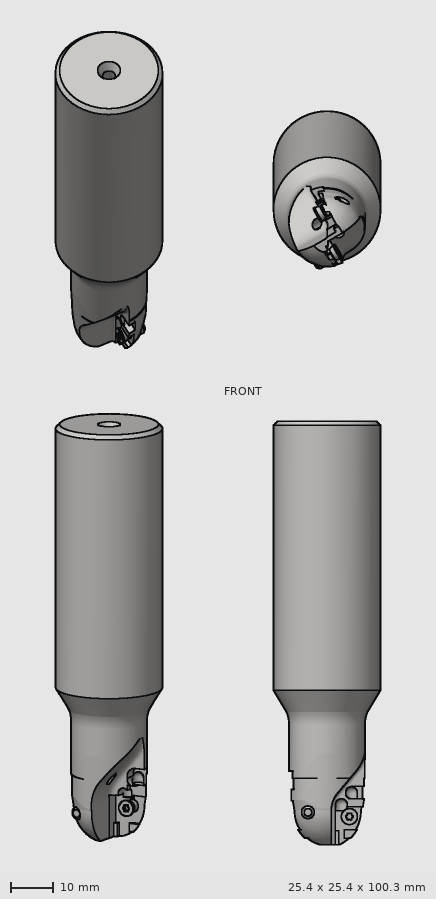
import cadquery as cq
import math

LENGTH = 100.3
SHANK_DIAMETER = 25.4
SHANK_R = SHANK_DIAMETER / 2
SHANK_CHAMFER = 1.0
SHANK_BOTTOM_Z = 36.6
CONE_BOTTOM_R = 9.6
CONE_BOTTOM_Z = 31.5
NECK_R = 9.0
NECK_TOP_Z = 28.7
LOWER_NECK_R = 8.8
LOWER_NECK_TOP_Z = 15.7
LOWER_NECK_BOTTOM_Z = 10.6
NOSE_R = 8.4
NOSE_TOP_Z = 8.1
NOSE_TIP_R = 3.7

RELIEF_R = 10.0
RELIEF_APEX_Z = 22.0
RELIEF_SLOPE = 0.04

CENTRE_R = 2.7
BORE_R = 1.5
CENTRE_HALF_ANGLE = math.radians(30)
CENTRE_DEPTH = (CENTRE_R - BORE_R) / math.tan(CENTRE_HALF_ANGLE)
BORE_BOTTOM_Z = 24.1
COOLANT_R = 1.2
COOLANT_EXIT_Y = -1.8

FLUTE_FLOOR_Y = 0.8
FLUTE_ANGLE = math.radians(40)
FLUTE_RUNOUT_X = 7.0
FLUTE_RUNOUT_R = 9.0
CLEAR = 15.0
BELOW_TIP_Z = -1.0

PAD_HEIGHT = 1.0
CORNER_PAD_WIDTH = 0.9
CORNER_PAD_TOP_Z = 3.3
OUTER_PAD_X = 4.1
OUTER_PAD_BOTTOM_Z = 1.6
OUTER_PAD_TOP_Z = 3.6
RECESS_WALL_X = 4.4
RELIEF_CUT_R = 1.4
SEAT_RELIEF_X = 3.4
SEAT_RELIEF_RISE = 0.5

SCREW_HEAD_R = 1.9
SCREW_HEAD_RIM = 0.4
SCREW_HEAD_DEPTH = 1.6
SCREW_R = 1.5
SCREW_LENGTH = 6.4
SCREW_TIP_R = 0.9
SOCKET_R = 0.65
SOCKET_LOBE_R = 0.25
SOCKET_LOBES = 6
SOCKET_DEPTH = 0.9

FLUTES = [
    {
        "turn": 0,
        "wall_x": 1.0,
        "wall_top_z": 8.1,
        "corner_r": 0.9,
        "seat_x": 1.9,
        "sweep_r": 6.3,
        "seat_y": 2.4,
        "seat_top_z": 9.0,
        "ledge_y": 0.8,
        "ledge_top_z": 10.9,
        "recess_y": 2.6,
        "recess_top_z": 13.8,
        "coolant_z": 12.5,
        "screw_x": 5.3,
        "screw_z": 6.7,
    },
    {
        "turn": 180,
        "wall_x": -0.2,
        "wall_top_z": 9.3,
        "corner_r": 1.5,
        "seat_x": 0.0,
        "sweep_r": 9.5,
        "seat_y": 3.4,
        "seat_top_z": 10.4,
        "ledge_y": 2.5,
        "ledge_top_z": 13.1,
        "recess_y": 3.8,
        "recess_top_z": 17.5,
        "coolant_z": 14.9,
        "screw_x": 4.5,
        "screw_z": 7.7,
    },
]


def turned(shape, flute):
    """Turn a shape from the flute frame to its place about the Z axis."""
    return shape.rotate((0, 0, 0), (0, 0, 1), flute["turn"])


def box(x0, x1, y0, y1, z0, z1):
    return cq.Workplane("XY").box(x1 - x0, y1 - y0, z1 - z0, centered=False).translate((x0, y0, z0))


def blank():
    """Shank, cone, neck and rounded nose."""
    inset = NOSE_R - NOSE_TIP_R
    arc_r = (inset**2 + NOSE_TOP_Z**2) / (2 * inset)
    half_angle = math.asin(NOSE_TOP_Z / arc_r) / 2
    arc_mid = (NOSE_R - arc_r * (1 - math.cos(half_angle)), NOSE_TOP_Z - arc_r * math.sin(half_angle))
    return (
        cq.Workplane("XZ")
        .moveTo(0, 0)
        .lineTo(NOSE_TIP_R, 0)
        .threePointArc(arc_mid, (NOSE_R, NOSE_TOP_Z))
        .lineTo(LOWER_NECK_R, LOWER_NECK_BOTTOM_Z)
        .lineTo(LOWER_NECK_R, LOWER_NECK_TOP_Z)
        .lineTo(NECK_R, LOWER_NECK_TOP_Z)
        .lineTo(NECK_R, NECK_TOP_Z)
        .tangentArcPoint((CONE_BOTTOM_R, CONE_BOTTOM_Z), relative=False)
        .lineTo(SHANK_R, SHANK_BOTTOM_Z)
        .lineTo(SHANK_R, LENGTH - SHANK_CHAMFER)
        .lineTo(SHANK_R - SHANK_CHAMFER, LENGTH)
        .lineTo(0, LENGTH)
        .close()
        .revolve(360, (0, 0, 0), (0, 1, 0))
    )


def back_relief():
    """Material outside a leaning cylinder on the -Y side of the neck and nose."""
    lean = math.degrees(math.atan(RELIEF_SLOPE))
    kept = (
        cq.Workplane("XY")
        .circle(RELIEF_R)
        .extrude(LENGTH, both=True)
        .translate((0, RELIEF_R - NECK_R, 0))
        .rotate((0, 0, 0), (1, 0, 0), lean)
        .translate((0, 0, RELIEF_APEX_Z))
    )
    return box(-CLEAR, CLEAR, -CLEAR, 0, BELOW_TIP_Z, RELIEF_APEX_Z).cut(kept)


def bore():
    """Centre hole with its 60 degree countersink."""
    return (
        cq.Workplane("XZ")
        .moveTo(0, LENGTH)
        .lineTo(CENTRE_R, LENGTH)
        .lineTo(BORE_R, LENGTH - CENTRE_DEPTH)
        .lineTo(BORE_R, BORE_BOTTOM_Z)
        .lineTo(0, BORE_BOTTOM_Z)
        .close()
        .revolve(360, (0, 0, 0), (0, 1, 0))
    )


def sweep_point(flute, angle):
    """Point of the flute wall arc where the wall leans by the given angle."""
    r = flute["sweep_r"]
    return (flute["wall_x"] + r * (1 - math.cos(angle)), flute["wall_top_z"] + r * math.sin(angle))


def flute_cut(flute):
    """Chip flute: straight wall, arc, sloped runout that curves out of the neck."""
    sweep_end = sweep_point(flute, FLUTE_ANGLE)
    runout_z = sweep_end[1] + (FLUTE_RUNOUT_X - sweep_end[0]) / math.tan(FLUTE_ANGLE)
    top_x = FLUTE_RUNOUT_X + FLUTE_RUNOUT_R * (1 - math.cos(FLUTE_ANGLE))
    top_z = runout_z + FLUTE_RUNOUT_R * math.sin(FLUTE_ANGLE)
    return (
        cq.Workplane("XZ", origin=(0, FLUTE_FLOOR_Y, 0))
        .moveTo(flute["wall_x"], BELOW_TIP_Z)
        .lineTo(flute["wall_x"], flute["wall_top_z"])
        .threePointArc(sweep_point(flute, FLUTE_ANGLE / 2), sweep_end)
        .lineTo(FLUTE_RUNOUT_X, runout_z)
        .tangentArcPoint((top_x, top_z), relative=False)
        .lineTo(CLEAR, top_z)
        .lineTo(CLEAR, BELOW_TIP_Z)
        .close()
        .extrude(CLEAR)
        .faces(">Y")
        .edges("not(>X or <Z or >Z)")
        .fillet(flute["corner_r"])
    )


def seat_cut(flute):
    """Insert seat with two locating pads, and the ledge above it."""
    seat_x = flute["seat_x"]
    seat_y = flute["seat_y"]
    pad_y = seat_y - PAD_HEIGHT
    seat_top_z = flute["seat_top_z"]
    ledge_top_z = flute["ledge_top_z"]
    seat = box(seat_x, CLEAR, -CLEAR, seat_y, BELOW_TIP_Z, seat_top_z)
    corner_pad_x = seat_x + CORNER_PAD_WIDTH
    corner_pad = box(seat_x, corner_pad_x, pad_y, seat_y, BELOW_TIP_Z, CORNER_PAD_TOP_Z)
    outer_pad = box(OUTER_PAD_X, CLEAR, pad_y, seat_y, OUTER_PAD_BOTTOM_Z, OUTER_PAD_TOP_Z)
    ledge = box(RECESS_WALL_X, CLEAR, 0, flute["ledge_y"], seat_top_z, ledge_top_z)
    return seat.cut(corner_pad).cut(outer_pad).union(ledge)


def recess_cut(flute):
    """Recess above the ledge, with a round inner end."""
    bottom_z = flute["ledge_top_z"]
    top_z = flute["recess_top_z"]
    end_r = (top_z - bottom_z) / 2
    end_x = RECESS_WALL_X + end_r
    round_end = (
        cq.Workplane("XZ", origin=(end_x, 0, bottom_z + end_r))
        .circle(end_r)
        .extrude(-flute["recess_y"])
    )
    return box(end_x, CLEAR, 0, flute["recess_y"], bottom_z, top_z).union(round_end)


def corner_relief(x, y, z):
    """Ball-ended relief sunk along Y to the given floor point and run out downward along Z."""
    floor_point = cq.Vector(x, y, z)
    plunge = cq.Solid.makeCylinder(RELIEF_CUT_R, CLEAR, floor_point, cq.Vector(0, -1, 0))
    runout = cq.Solid.makeCylinder(RELIEF_CUT_R, RELIEF_CUT_R, floor_point, cq.Vector(0, 0, -1))
    ball = cq.Workplane("XY").sphere(RELIEF_CUT_R).translate(floor_point)
    return ball.union(cq.Workplane(plunge)).union(cq.Workplane(runout))


def recess_relief(flute):
    """Relief in the inner bottom corner of the recess."""
    centre_z = flute["ledge_top_z"] + RELIEF_CUT_R
    return corner_relief(RECESS_WALL_X + RELIEF_CUT_R, flute["recess_y"], centre_z)


def seat_relief(flute):
    """Relief above the inner top corner of the insert seat."""
    return corner_relief(SEAT_RELIEF_X, flute["seat_y"], flute["seat_top_z"] + SEAT_RELIEF_RISE)


def coolant_branch(flute):
    """Coolant hole from the bottom of the bore to the flute wall."""
    exit_z = flute["coolant_z"]
    lean = math.asin((exit_z - flute["wall_top_z"]) / flute["sweep_r"])
    start = cq.Vector(0, 0, BORE_BOTTOM_Z + BORE_R)
    path = cq.Vector(sweep_point(flute, lean)[0], COOLANT_EXIT_Y, exit_z) - start
    return cq.Workplane(cq.Solid.makeCylinder(COOLANT_R, path.Length + COOLANT_R, start, path))


def screw_blank(flute):
    """Countersunk screw without its socket, in the flute frame."""
    tip_start = SCREW_LENGTH - (SCREW_R - SCREW_TIP_R)
    return (
        cq.Workplane("XY")
        .moveTo(0, 0)
        .lineTo(SCREW_HEAD_R, 0)
        .lineTo(SCREW_HEAD_R, SCREW_HEAD_RIM)
        .lineTo(SCREW_R, SCREW_HEAD_DEPTH)
        .lineTo(SCREW_R, tip_start)
        .lineTo(SCREW_TIP_R, SCREW_LENGTH)
        .lineTo(0, SCREW_LENGTH)
        .close()
        .revolve(360, (0, 0, 0), (0, 1, 0))
        .translate((flute["screw_x"], 0, flute["screw_z"]))
    )


def screw(flute):
    """Clamping screw with a six-lobed socket."""
    socket = cq.Workplane("XZ").circle(SOCKET_R).extrude(-SOCKET_DEPTH)
    lobes = (
        cq.Workplane("XZ")
        .polarArray(SOCKET_R, 0, 360, SOCKET_LOBES)
        .circle(SOCKET_LOBE_R)
        .extrude(-SOCKET_DEPTH)
    )
    socket = socket.union(lobes).translate((flute["screw_x"], 0, flute["screw_z"]))
    return turned(screw_blank(flute).cut(socket), flute)


def screw_hole(flute):
    """Hole that the screw shank fills, open on the far side of the holder."""
    return (
        cq.Workplane("XZ", origin=(flute["screw_x"], 0, flute["screw_z"]))
        .circle(SCREW_R)
        .extrude(-CLEAR)
    )


def make_holder():
    cutters = (flute_cut, seat_cut, recess_cut, recess_relief, seat_relief, coolant_branch, screw_hole)
    body = blank().cut(bore())
    for flute in FLUTES:
        body = body.cut(turned(back_relief(), flute))
    for flute in FLUTES:
        for cutter in cutters:
            body = body.cut(turned(cutter(flute), flute))
    return body


holder = make_holder()
screws = [screw(flute) for flute in FLUTES]

result = cq.Compound.makeCompound([holder.val(), *[item.val() for item in screws]])